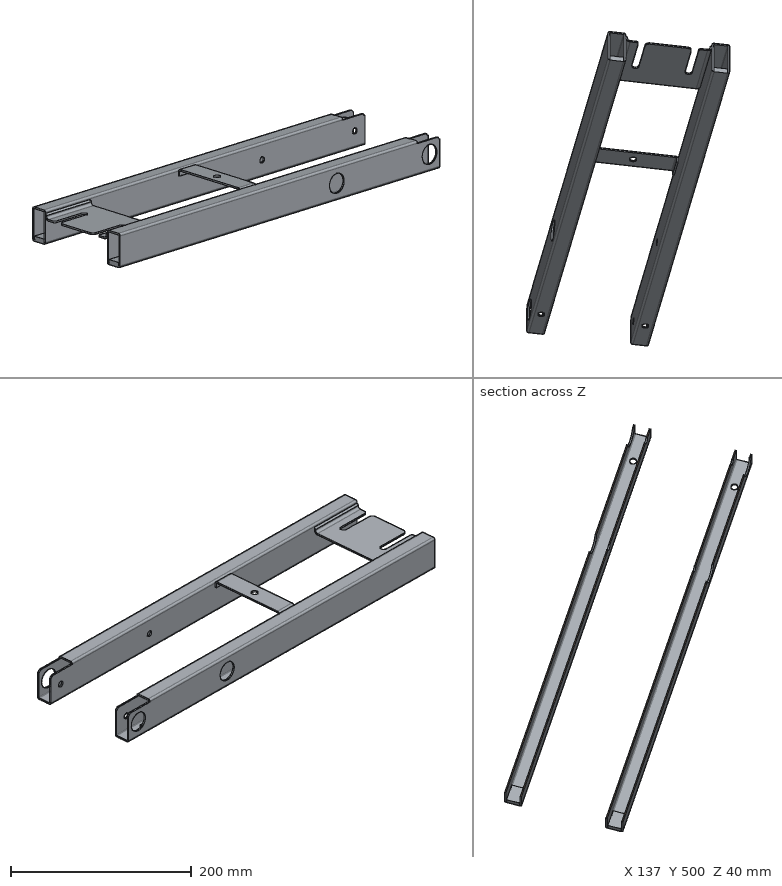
import cadquery as cq
import math

length = 500.0
frame_width = 137.0
front_y = -length / 2
back_y = length / 2
sheet = 2.0

rail_height = 40.0
rail_width = 20.0
rail_bend_radius = 2.5
rail_outer_x = frame_width / 2
rail_inner_x = rail_outer_x - rail_width
rail_center_x = (rail_outer_x + rail_inner_x) / 2

notch_length = 35.0
notch_depth = 3.0
wall_corner_chamfer = 3.0

side_hole_setbacks = (16.0, 161.0)
side_hole_z = rail_height / 2
access_hole_diameter = 23.0
bolt_hole_diameter = 7.0
floor_hole_diameter = 7.5
floor_hole_setback = notch_length

pad_length = 20.0
pad_top = 6.0
pad_side_gap = 0.5

strap_width = 24.0
strap_y = -30.0
strap_bend_radius = 3.0
strap_depth = 8.0
strap_hole_diameter = 8.0

plate_length = 70.0
plate_bottom = 28.5
plate_bend_radius = 5.0
plate_depth = 8.0
slot_width = 8.0
slot_spacing = 60.0
slot_length = 46.0
tongue_corner_radius = 5.0
wing_corner_radius = 3.0


def tube(inset, bend_radius):
    """Full-length bar with the rail's section, drawn in by `inset` on all four sides."""
    return (
        cq.Workplane("XZ", origin=(rail_center_x, front_y, rail_height / 2))
        .rect(rail_width - 2 * inset, rail_height - 2 * inset)
        .extrude(-length)
        .edges("|Y")
        .fillet(bend_radius)
    )


def rail_notch():
    """Space that opens the top of the rail at its back end and slopes off the wall corners."""
    top = rail_height
    wall_top = rail_height - notch_depth
    return (
        cq.Workplane("YZ", origin=(rail_inner_x, 0, 0))
        .moveTo(back_y - notch_length, top)
        .lineTo(back_y - notch_length, wall_top)
        .lineTo(back_y - wall_corner_chamfer, wall_top)
        .lineTo(back_y, wall_top - wall_corner_chamfer)
        .lineTo(back_y, top)
        .close()
        .extrude(rail_width)
    )


def side_hole(diameter, start_x, y):
    """Hole along X through one side wall, reaching the middle of the rail."""
    return (
        cq.Workplane("YZ", origin=(start_x, y, side_hole_z))
        .circle(diameter / 2)
        .extrude(rail_width / 2)
    )


def floor_hole():
    return (
        cq.Workplane("XY", origin=(rail_center_x, back_y - floor_hole_setback, 0))
        .circle(floor_hole_diameter / 2)
        .extrude(rail_height / 2)
    )


def front_pad():
    """Pad on the floor, with a small gap to both side walls."""
    pad_width = rail_width - 2 * (sheet + pad_side_gap)
    pad_bottom = sheet / 2
    return (
        cq.Workplane("XY", origin=(rail_center_x, front_y + pad_length / 2, pad_bottom))
        .box(pad_width, pad_length, pad_top - pad_bottom, centered=(True, True, False))
    )


def make_rail(side):
    """Rail on the +X side (side = 1) or its mirror image on the -X side (side = -1)."""
    rail = tube(0, rail_bend_radius).cut(tube(sheet, rail_bend_radius - sheet))
    rail = rail.cut(rail_notch()).cut(floor_hole())
    for setback in side_hole_setbacks:
        rail = rail.cut(side_hole(bolt_hole_diameter, rail_inner_x, back_y - setback))
        rail = rail.cut(side_hole(access_hole_diameter, rail_center_x, back_y - setback))
    rail = rail.union(front_pad())
    return rail if side > 0 else rail.mirror("YZ")


def channel(run, depth, bend_radius, bevel):
    """Bent sheet between the rails, with its underside at Z = 0 and its flanges turned up.

    It runs from Y = 0 to Y = run. The flange tops slope down inward by `bevel`.
    """
    bend_start = rail_inner_x - bend_radius
    flange_inner_x = rail_inner_x - sheet
    outer_offset = bend_radius * math.sqrt(0.5)
    inner_offset = (bend_radius - sheet) * math.sqrt(0.5)
    half = (
        cq.Workplane("XZ")
        .lineTo(bend_start, 0)
        .threePointArc((bend_start + outer_offset, bend_radius - outer_offset), (rail_inner_x, bend_radius))
        .lineTo(rail_inner_x, depth)
        .lineTo(flange_inner_x, depth - bevel)
        .lineTo(flange_inner_x, bend_radius)
        .threePointArc((bend_start + inner_offset, bend_radius - inner_offset), (bend_start, sheet))
        .lineTo(0, sheet)
        .close()
        .extrude(-run)
    )
    return half.union(half.mirror("YZ"))


def make_strap():
    strap = channel(strap_width, strap_depth, strap_bend_radius, 0).mirror("XY")
    strap = strap.translate((0, strap_y - strap_width / 2, rail_height))
    hole = cq.Workplane("XY").center(0, strap_y).circle(strap_hole_diameter / 2).extrude(rail_height)
    return strap.cut(hole)


def make_plate():
    plate = channel(plate_length, plate_depth, plate_bend_radius, sheet)
    plate = plate.translate((0, front_y, plate_bottom))
    slots = (
        cq.Workplane("XY")
        .pushPoints([(-slot_spacing / 2, front_y), (slot_spacing / 2, front_y)])
        .slot2D(2 * slot_length, slot_width, 90)
        .extrude(rail_height)
    )
    plate = plate.cut(slots)
    tongue_half = (slot_spacing - slot_width) / 2
    wing_start = tongue_half + slot_width
    for corner_x, radius in ((tongue_half, tongue_corner_radius), (wing_start, wing_corner_radius)):
        for side in (-1, 1):
            corner = cq.selectors.NearestToPointSelector((side * corner_x, front_y, plate_bottom + sheet / 2))
            plate = plate.edges("|Z").edges(corner).fillet(radius)
    return plate


rails = [make_rail(side) for side in (-1, 1)]
strap = make_strap()
plate = make_plate()

result = cq.Compound.makeCompound([*[rail.val() for rail in rails], strap.val(), plate.val()])